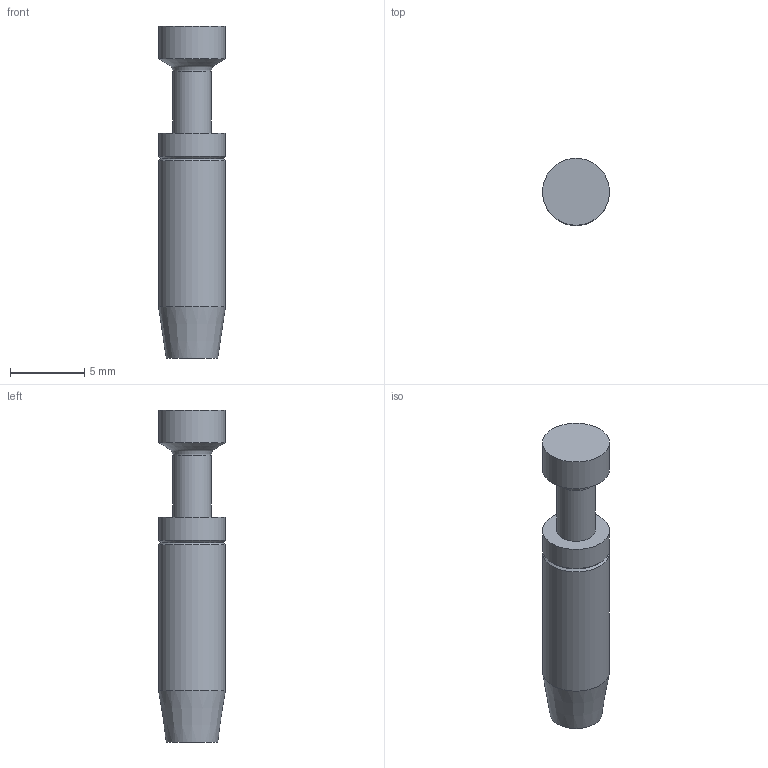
import cadquery as cq
import math

body_diameter = 4.5
neck_diameter = 2.6
tip_diameter = 3.47

overall_length = 22.3
taper_top = 3.45
shoulder_top = 15.1
head_length = 2.2

groove_center = 13.4
groove_width = 0.28
groove_depth = groove_width / 2

head_cone_angle = 60
neck_fillet_radius = 0.5

body_radius = body_diameter / 2
neck_radius = neck_diameter / 2
tip_radius = tip_diameter / 2
head_bottom = overall_length - head_length


def make_pin():
    """Revolve the half profile, drawn as (radius, height), around the Z axis."""
    cone_angle = math.radians(head_cone_angle)

    corner_height = head_bottom - (body_radius - neck_radius) / math.tan(cone_angle)

    tangent_length = neck_fillet_radius * math.tan(cone_angle / 2)
    fillet_center_radius = neck_radius + neck_fillet_radius
    fillet_bottom = corner_height - tangent_length
    fillet_start = (neck_radius, fillet_bottom)
    fillet_middle = (
        fillet_center_radius - neck_fillet_radius * math.cos(cone_angle / 2),
        fillet_bottom + neck_fillet_radius * math.sin(cone_angle / 2),
    )
    fillet_end = (
        fillet_center_radius - neck_fillet_radius * math.cos(cone_angle),
        fillet_bottom + neck_fillet_radius * math.sin(cone_angle),
    )

    profile = (
        cq.Workplane("XZ")
        .moveTo(0, 0)
        .lineTo(tip_radius, 0)
        .lineTo(body_radius, taper_top)
        .lineTo(body_radius, shoulder_top)
        .lineTo(neck_radius, shoulder_top)
        .lineTo(*fillet_start)
        .threePointArc(fillet_middle, fillet_end)
        .lineTo(body_radius, head_bottom)
        .lineTo(body_radius, overall_length)
        .lineTo(0, overall_length)
        .close()
    )
    return profile.revolve(axisStart=(0, 0, 0), axisEnd=(0, 1, 0))


def make_groove_cutter():
    """Triangular ring that cuts the V-groove."""
    half_width = groove_width / 2
    section = (
        cq.Workplane("XZ")
        .moveTo(body_radius, groove_center - half_width)
        .lineTo(body_radius - groove_depth, groove_center)
        .lineTo(body_radius, groove_center + half_width)
        .close()
    )
    return section.revolve(axisStart=(0, 0, 0), axisEnd=(0, 1, 0))


result = make_pin().cut(make_groove_cutter())